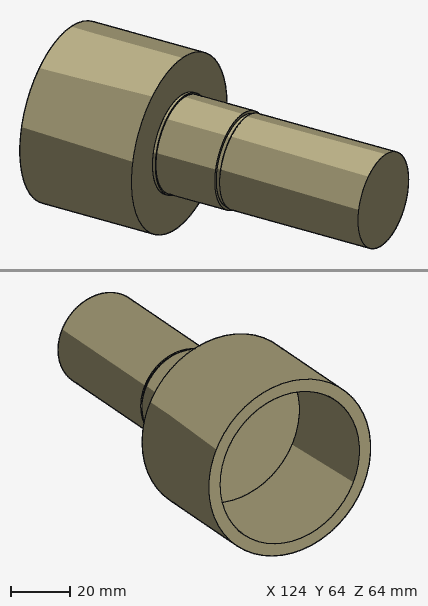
import cadquery as cq

total_length = 124
cup_diameter = 64.0
cup_bore_diameter = 55.0
cup_length = 43.9
ring_diameter = 36
ring_width = 1.1
body_diameter = 35.0
body_end = 68.1
groove_diameter = 33.0
groove_width = 1.6
spigot_diameter = 34.0

cup_wall = (cup_diameter - cup_bore_diameter) / 2
cup_bore_depth = cup_length - cup_wall

ring_end = cup_length + ring_width
groove_end = body_end + groove_width


def cylinder(start, end, diameter):
    """Solid cylinder on the X axis between two X positions."""
    return cq.Workplane("YZ").workplane(offset=start).circle(diameter / 2).extrude(end - start)


result = cylinder(0, cup_length, cup_diameter)
result = result.union(cylinder(cup_length, ring_end, ring_diameter))
result = result.union(cylinder(ring_end, body_end, body_diameter))
result = result.union(cylinder(body_end, groove_end, groove_diameter))
result = result.union(cylinder(groove_end, total_length, spigot_diameter))

result = result.cut(cylinder(0, cup_bore_depth, cup_bore_diameter))

result = result.translate((-total_length / 2, 0, 0))